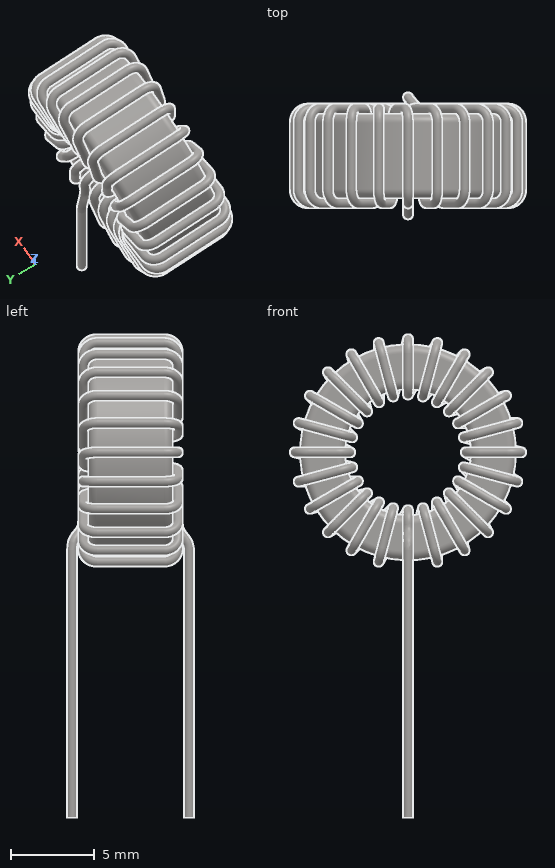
import cadquery as cq
import math


core_outer_diameter = 12.9
core_inner_diameter = 7.5
core_width = 5.05
core_fillet = 0.52

wire_diameter = 0.6
step_count = 24
lead_top = -5.85
lead_spacing = 7.0
overall_height = 28.9

wire_radius = wire_diameter / 2
run_inner_radius = core_inner_diameter / 2 - wire_radius
run_outer_radius = core_outer_diameter / 2 + wire_radius
face_offset = core_width / 2 + wire_radius
bend_radius = core_fillet + wire_radius
run_half_length = face_offset - bend_radius
step_angle = 360 / step_count
lead_angle = 270.0

lead_offset = lead_spacing / 2
lead_tip = run_outer_radius + wire_radius - overall_height

FRONT = -1
BACK = 1
DOWN = cq.Vector(0, 0, -1)


def ring_point(radius, angle, y=0.0):
    """Point at a radius and an angle (degrees, from +X toward +Z) around the ring axis."""
    a = math.radians(angle)
    return cq.Vector(radius * math.cos(a), y, radius * math.sin(a))


def corner_bend(run_point, direction, side):
    """Quarter bend from the end of an axial run onto a core face, heading along direction.

    Returns the edge and the point where it ends on the face.
    """
    outward = cq.Vector(0, side, 0)
    start = run_point + outward * run_half_length
    centre = start + direction * bend_radius
    diagonal = (outward - direction).normalized()
    end = centre + outward * bend_radius
    return cq.Edge.makeThreePointArc(start, centre + diagonal * bend_radius, end), end


def axial_run(radius, angle):
    """Straight run parallel to the ring axis, through the bore or over the rim."""
    return cq.Edge.makeLine(
        ring_point(radius, angle, -run_half_length),
        ring_point(radius, angle, run_half_length),
    )


def face_run(inner_angle, outer_angle, side):
    """Run across a core face with a bend at each end, from the bore to the rim."""
    inner = ring_point(run_inner_radius, inner_angle)
    outer = ring_point(run_outer_radius, outer_angle)
    direction = (outer - inner).normalized()
    inner_bend, inner_end = corner_bend(inner, direction, side)
    outer_bend, outer_end = corner_bend(outer, -direction, side)
    return [inner_bend, cq.Edge.makeLine(inner_end, outer_end), outer_bend]


def lead(inner_angle, side):
    """Bend out of the bore, an S-curve away from the core face, and a straight lead."""
    inner = ring_point(run_inner_radius, inner_angle)
    direction = (ring_point(run_outer_radius, lead_angle) - inner).normalized()
    bend, bend_end = corner_bend(inner, direction, side)
    top = cq.Vector(0, side * lead_offset, lead_top)
    tip = cq.Vector(0, side * lead_offset, lead_tip)
    s_curve = cq.Edge.makeSpline([bend_end, top], tangents=[direction, DOWN])
    return [bend, s_curve, cq.Edge.makeLine(top, tip)]


def make_core():
    ring = (
        cq.Workplane("XZ", origin=(0, core_width / 2, 0))
        .circle(core_outer_diameter / 2)
        .circle(core_inner_diameter / 2)
        .extrude(core_width)
    )
    return ring.edges().fillet(core_fillet)


def winding_path():
    """Centre line of the wire: radial runs on the front face, one step of advance on the back."""
    edges = lead(lead_angle, FRONT)
    for turn in range(1, step_count):
        previous_angle = lead_angle - (turn - 1) * step_angle
        angle = lead_angle - turn * step_angle
        edges.append(axial_run(run_inner_radius, previous_angle))
        edges += face_run(previous_angle, angle, BACK)
        edges.append(axial_run(run_outer_radius, angle))
        edges += face_run(angle, angle, FRONT)
    last_angle = lead_angle + step_angle
    edges.append(axial_run(run_inner_radius, last_angle))
    edges += lead(last_angle, BACK)
    return cq.Wire.assembleEdges(edges)


def make_winding():
    lead_tip_plane = cq.Plane(origin=(0, FRONT * lead_offset, lead_tip), normal=(0, 0, 1))
    return cq.Workplane(lead_tip_plane).circle(wire_radius).sweep(winding_path())


core = make_core()
winding = make_winding()

result = cq.Compound.makeCompound([core.val(), winding.val()])